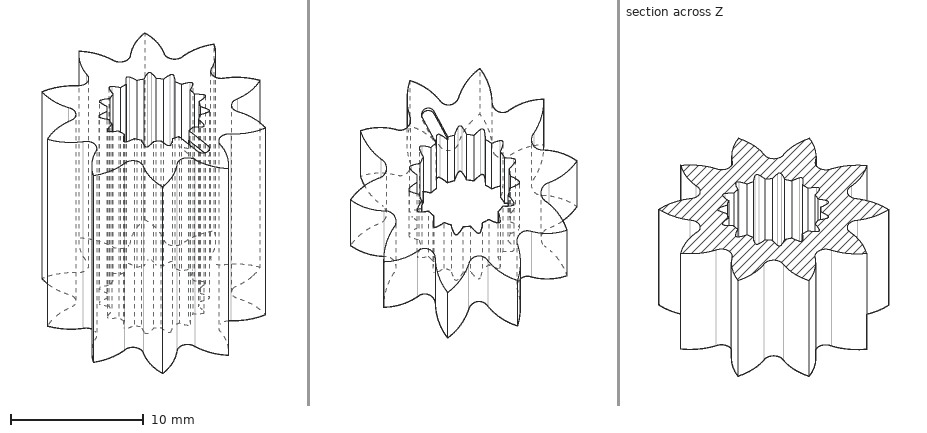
import cadquery as cq
import math

height = 19.0
tooth_count = 10
tip_radius = 8.68
root_radius = 5.89
flank_foot_radius = 6.45
flank_foot_angle = 11.4
flank_mid_radius = 7.64
flank_mid_angle = 6.1

groove_count = 15
bore_radius = 3.53
groove_depth = 0.66
groove_mouth_angle = 7.4
groove_mid_radius = 3.85
groove_mid_angle = 4.6
groove_round_radius = 4.1
groove_round_angle = 2.1

slot_width = 1.0
slot_depth = 1.0
slot_end = 6.21


def polar(radius, angle):
    """Point at a radius and an angle in degrees from the X axis."""
    return (radius * math.cos(math.radians(angle)), radius * math.sin(math.radians(angle)))


def make_body():
    """Pointed teeth with curved flanks, joined by rounded gaps; one tooth points along +X."""
    pitch = 360 / tooth_count
    outline = cq.Workplane("XY").moveTo(*polar(tip_radius, 0))
    for tooth in range(tooth_count):
        centre = tooth * pitch
        following = centre + pitch
        outline = (
            outline
            .threePointArc(
                polar(flank_mid_radius, centre + flank_mid_angle),
                polar(flank_foot_radius, centre + flank_foot_angle),
            )
            .threePointArc(
                polar(root_radius, centre + pitch / 2),
                polar(flank_foot_radius, following - flank_foot_angle),
            )
            .threePointArc(
                polar(flank_mid_radius, following - flank_mid_angle),
                polar(tip_radius, following),
            )
        )
    return outline.close().extrude(height)


def make_bore():
    """Solid of the through bore with its grooves; one groove points along +X."""
    pitch = 360 / groove_count
    outline = cq.Workplane("XY").moveTo(*polar(bore_radius, -groove_mouth_angle))
    for groove in range(groove_count):
        centre = groove * pitch
        outline = (
            outline
            .threePointArc(
                polar(groove_mid_radius, centre - groove_mid_angle),
                polar(groove_round_radius, centre - groove_round_angle),
            )
            .threePointArc(
                polar(bore_radius + groove_depth, centre),
                polar(groove_round_radius, centre + groove_round_angle),
            )
            .threePointArc(
                polar(groove_mid_radius, centre + groove_mid_angle),
                polar(bore_radius, centre + groove_mouth_angle),
            )
            .threePointArc(
                polar(bore_radius, centre + pitch / 2),
                polar(bore_radius, centre + pitch - groove_mouth_angle),
            )
        )
    return outline.close().extrude(height)


def make_slot():
    """Round-ended slot solid, starting at the part's axis so that it opens into the bore."""
    half_width = slot_width / 2
    straight_end = slot_end - half_width
    return (
        cq.Workplane("XY", origin=(0, 0, height - slot_depth))
        .moveTo(0, -half_width)
        .lineTo(straight_end, -half_width)
        .threePointArc((slot_end, 0), (straight_end, half_width))
        .lineTo(0, half_width)
        .close()
        .extrude(slot_depth)
    )


result = make_body().cut(make_bore()).cut(make_slot())